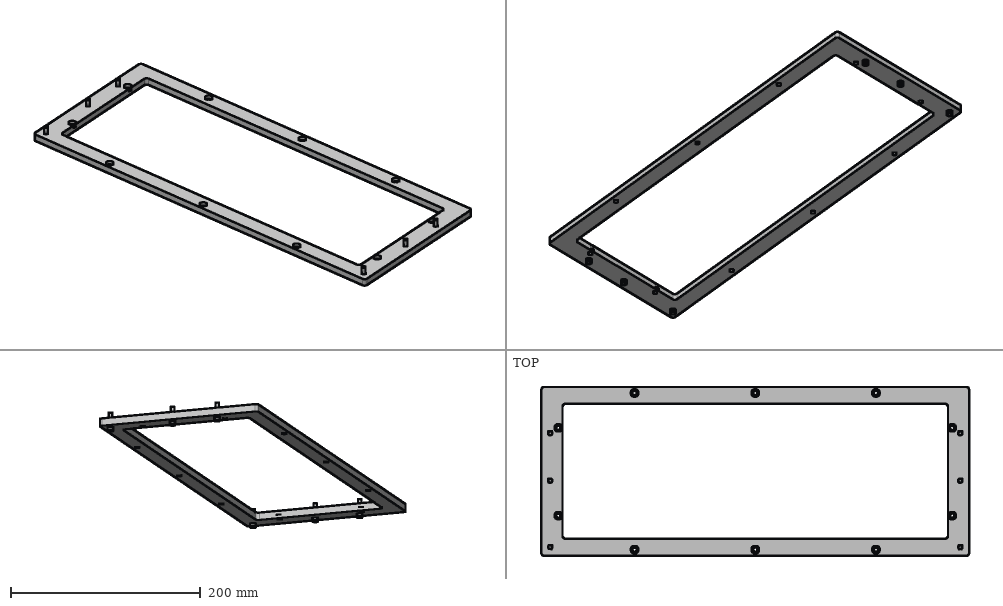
import cadquery as cq

frame_length = 451.0
frame_width = 178.0
frame_thickness = 8.0
end_rail_width = 22.5
side_rail_width = 18.0
corner_radius = 3.0
window_corner_radius = 3.0
window_length = frame_length - 2 * end_rail_width
window_width = frame_width - 2 * side_rail_width

mount_hole_diameter = 4.5
counterbore_diameter = 8.0
counterbore_depth = 4.0
side_rail_hole_pitch = 127.0
side_rail_hole_y = 82.5
end_rail_hole_x = 207.5
end_rail_hole_pitch = 92.5
end_rail_hole_shift = -0.5

clearance_hole_diameter = 4.5

shank_diameter = 4.0
shank_length = 16.0
head_diameter = 6.5
head_height = 4.0
head_chamfer = 1.0
screw_x = 216.0
screw_rows_y = (40.0, -10.0, -80.0)

side_rail_holes = [
    (column * side_rail_hole_pitch, side * side_rail_hole_y)
    for column in (-1, 0, 1)
    for side in (-1, 1)
]
end_rail_holes = [
    (end * end_rail_hole_x, end_rail_hole_shift + side * end_rail_hole_pitch / 2)
    for end in (-1, 1)
    for side in (-1, 1)
]
screw_places = [(end * screw_x, y) for end in (-1, 1) for y in screw_rows_y]


def rounded_block(length, width, radius):
    """Block of the frame's thickness with vertical corners rounded to the given radius."""
    block = cq.Workplane("XY").box(length, width, frame_thickness, centered=(True, True, False))
    return block.edges("|Z").fillet(radius)


def make_frame():
    """Rectangular frame with its window, mounting holes and screw holes."""
    frame = rounded_block(frame_length, frame_width, corner_radius)
    frame = frame.cut(rounded_block(window_length, window_width, window_corner_radius))
    top_face = cq.Workplane("XY").workplane(offset=frame_thickness)
    mount_places = side_rail_holes + end_rail_holes
    bores = top_face.pushPoints(mount_places).circle(mount_hole_diameter / 2).extrude(-frame_thickness)
    recesses = top_face.pushPoints(mount_places).circle(counterbore_diameter / 2).extrude(-counterbore_depth)
    shank_holes = top_face.pushPoints(screw_places).circle(clearance_hole_diameter / 2)
    shank_holes = shank_holes.extrude(-frame_thickness)
    return frame.cut(bores).cut(recesses).cut(shank_holes)


def make_screw(x, y):
    """Screw whose chamfered head bears on the underside of the frame and whose shank points up."""
    underside = cq.Workplane("XY").center(x, y)
    head = underside.circle(head_diameter / 2).extrude(-head_height)
    head = head.faces("<Z").chamfer(head_chamfer)
    shank = underside.circle(shank_diameter / 2).extrude(shank_length)
    return head.union(shank)


frame = make_frame()
screws = [make_screw(x, y) for x, y in screw_places]

result = cq.Compound.makeCompound([frame.val(), *[screw.val() for screw in screws]])